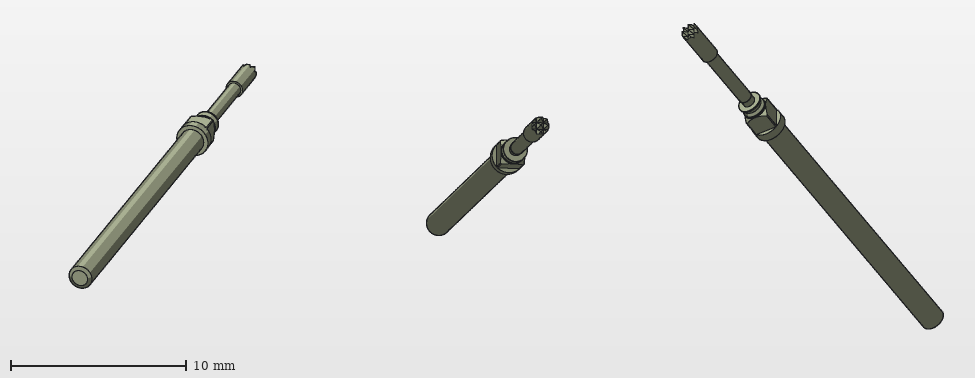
import cadquery as cq

TOTAL_LENGTH = 27.9
TUBE_END_Y = -TOTAL_LENGTH / 2
TIP_Y = TOTAL_LENGTH / 2

TUBE_RADIUS = 0.7
TUBE_TAPER_LENGTH = 0.1
TUBE_END_RADIUS = 0.47
RING_RADIUS = 0.95
RING_START_Y = 4.55
BODY_START_Y = 5.08
BODY_END_Y = 6.33
FLAT_TO_FLAT = 1.4
BODY_END_RADIUS = FLAT_TO_FLAT / 2
BODY_CHAMFER_LENGTH = 0.2

COLLAR_RADIUS = 0.65
COLLAR_END_Y = 6.4
CREST_RADIUS = 0.7
CREST_Y = 6.47
GROOVE_RADIUS = 0.59
GROOVE_Y = 6.67
DISC_RADIUS = 0.7
DISC_START_Y = 6.92
DISC_END_Y = 7.0

NECK_RADIUS = 0.35
ROD_RADIUS = 0.4
ROD_START_Y = 7.42
HEAD_RADIUS = 0.5
HEAD_START_Y = 11.47

TOOTH_PITCH = 0.4
GROOVES_PER_SET = 4
TOOTH_DEPTH = 0.35


def make_turned_body():
    """Revolve the (radius, y) half profile about the Y axis."""
    profile = [
        (0, TUBE_END_Y),
        (TUBE_END_RADIUS, TUBE_END_Y),
        (TUBE_RADIUS, TUBE_END_Y + TUBE_TAPER_LENGTH),
        (TUBE_RADIUS, RING_START_Y),
        (RING_RADIUS, RING_START_Y),
        (RING_RADIUS, BODY_END_Y - BODY_CHAMFER_LENGTH),
        (BODY_END_RADIUS, BODY_END_Y),
        (COLLAR_RADIUS, BODY_END_Y),
        (COLLAR_RADIUS, COLLAR_END_Y),
        (CREST_RADIUS, CREST_Y),
        (GROOVE_RADIUS, GROOVE_Y),
        (DISC_RADIUS, DISC_START_Y),
        (DISC_RADIUS, DISC_END_Y),
        (NECK_RADIUS, DISC_END_Y),
        (NECK_RADIUS, ROD_START_Y),
        (ROD_RADIUS, ROD_START_Y),
        (ROD_RADIUS, HEAD_START_Y),
        (HEAD_RADIUS, HEAD_START_Y),
        (HEAD_RADIUS, TIP_Y),
        (0, TIP_Y),
    ]
    outline = cq.Workplane("XY").polyline(profile).close()
    return outline.revolve(360, (0, 0, 0), (0, 1, 0))


def make_flats_cutter():
    """Square-holed block that leaves four flats on the body beside the ring."""
    length = BODY_END_Y - BODY_START_Y
    block_width = 4 * RING_RADIUS
    middle_y = (BODY_START_Y + BODY_END_Y) / 2
    block = cq.Workplane("XY").box(block_width, length, block_width)
    core = cq.Workplane("XY").box(FLAT_TO_FLAT, length, FLAT_TO_FLAT)
    return block.cut(core).translate((0, middle_y, 0))


def make_tip_groove(offset):
    """V groove along Z across the head, centred at X = offset."""
    half_width = TOOTH_PITCH / 2
    section = [
        (offset - half_width, TIP_Y),
        (offset + half_width, TIP_Y),
        (offset, TIP_Y - TOOTH_DEPTH),
    ]
    return cq.Workplane("XY").polyline(section).close().extrude(2 * HEAD_RADIUS, both=True)


def cut_serrated_tip(part):
    for index in range(GROOVES_PER_SET):
        offset = (index - (GROOVES_PER_SET - 1) / 2) * TOOTH_PITCH
        groove = make_tip_groove(offset)
        part = part.cut(groove)
        part = part.cut(groove.rotate((0, 0, 0), (0, 1, 0), 90))
    return part


result = cut_serrated_tip(make_turned_body().cut(make_flats_cutter()))